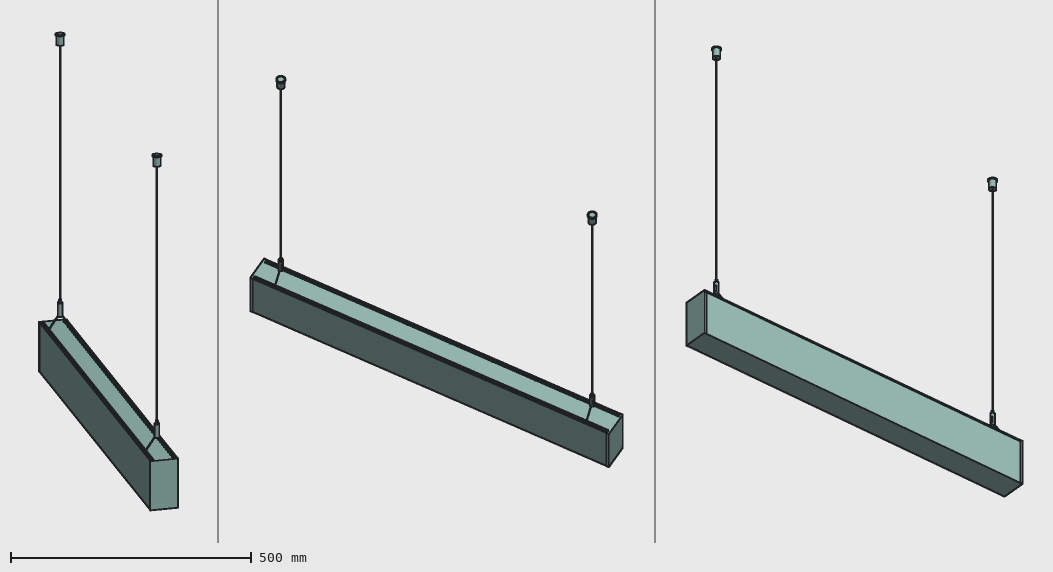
import cadquery as cq

length = 854.0
width = 60.0
height = 766.0

body_height = 109.0
cap_thickness = 6.0
cap_overhang = 0.4
groove_offset = 2.1
groove_width = 6.4
groove_depth = 2.0
slot_width = 3.25
slot_depth = 3.0

hanger_spacing = 741.0
flange_diameter = 20.0
flange_height = 2.5
flange_chamfer_height = 1.0
flange_chamfer_width = 2.1
mount_diameter = 16.0
mount_height = 24.0

cable_diameter = 2.1
gripper_diameter = 10.0
gripper_height = 32.0
gripper_gap = 30.0
gripper_chamfer = 2.0
neck_diameter = 5.0
neck_height = 5.0
recess_depth = 1.0
recess_width = 7.0
recess_height = 14.5
recess_bottom = 6.0

wire_diameter = 1.3
wire_joint_height = 38.0
wire_foot_y = 28.0

gripper_bottom_z = body_height + gripper_gap
gripper_top_z = gripper_bottom_z + gripper_height


def cylinder(diameter, bottom, top):
    """Vertical round bar on the hanger axis."""
    return cq.Workplane("XY").workplane(offset=bottom).circle(diameter / 2).extrude(top - bottom)


def block(size_x, size_y, size_z):
    """Box centred in X and Y that stands on the base plane."""
    return cq.Workplane("XY").box(size_x, size_y, size_z, centered=(True, True, False))


def lamp_body():
    """Long housing between two end caps, with a stepped groove along each top edge."""
    housing_width = width - 2 * cap_overhang
    body = block(length, housing_width, body_height)
    inner_length = length - 2 * cap_thickness
    groove = block(inner_length, groove_width, groove_depth)
    groove_y = (housing_width - groove_width) / 2 - groove_offset
    slot = block(inner_length, slot_width, slot_depth)
    slot_y = groove_y - (groove_width - slot_width) / 2
    cap = block(cap_thickness, width, body_height)
    for side in (-1, 1):
        body = body.union(cap.translate((side * (length - cap_thickness) / 2, 0, 0)))
        body = body.cut(groove.translate((0, side * groove_y, body_height - groove_depth)))
        body = body.cut(slot.translate((0, side * slot_y, body_height - slot_depth)))
    return body


def ceiling_mount():
    """Round mount under a thin flange with a chamfered top rim."""
    flange = cylinder(flange_diameter, height - flange_height, height)
    flange = flange.faces(">Z").edges().chamfer(flange_chamfer_height, flange_chamfer_width)
    return flange.union(cylinder(mount_diameter, height - mount_height, height - flange_height))


def gripper():
    """Cable gripper with a necked top and a shallow recess on its -X side."""
    sleeve = cylinder(gripper_diameter, gripper_bottom_z, gripper_top_z)
    sleeve = sleeve.faces(">Z").chamfer(gripper_chamfer)
    recess_z = gripper_bottom_z + recess_bottom
    core = cylinder(gripper_diameter - 2 * recess_depth, recess_z, recess_z + recess_height)
    recess = block(gripper_diameter, recess_width, recess_height)
    recess = recess.translate((-gripper_diameter / 2, 0, recess_z)).cut(core)
    neck = cylinder(neck_diameter, gripper_top_z, gripper_top_z + neck_height)
    return sleeve.cut(recess).union(neck)


def spread_wire(side):
    """Sloping wire from the gripper axis down into the top edge of the body on one side."""
    foot = cq.Vector(0, side * wire_foot_y, body_height - groove_depth - wire_diameter)
    joint = cq.Vector(0, 0, body_height + wire_joint_height)
    run = joint - foot
    return cq.Workplane(cq.Solid.makeCylinder(wire_diameter / 2, run.Length, foot, run))


def hanger():
    """Ceiling mount, cable, gripper and the two wires that carry the body."""
    parts = ceiling_mount().union(gripper())
    parts = parts.union(cylinder(cable_diameter, gripper_top_z, height - mount_height))
    for side in (-1, 1):
        parts = parts.union(spread_wire(side))
    return parts


result = lamp_body()
for end in (-1, 1):
    result = result.union(hanger().translate((end * hanger_spacing / 2, 0, 0)))